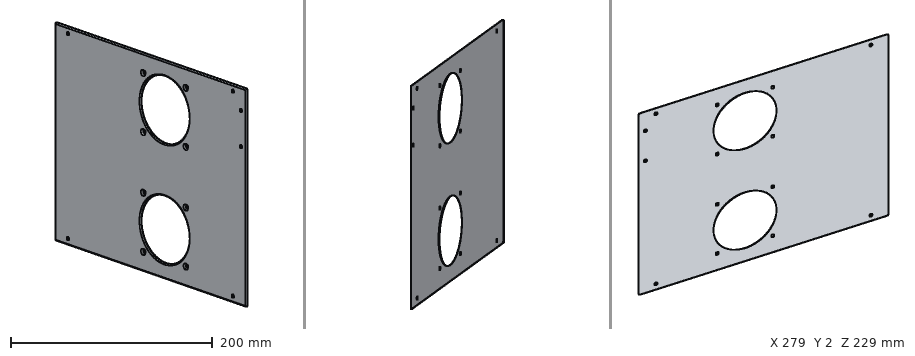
import cadquery as cq

width = 279.0
height = 229.0
thickness = 2.0
edge_bevel = 1.5
corner_radius = 2.0

opening_x = 20.6
opening_z = 62.8
opening_diameter = 70.3
opening_rim_diameter = 73.0
screw_offset = 31.0
screw_diameter = 3.3
screw_head_diameter = 6.7

small_hole_diameter = 3.3
corner_hole_x = 120.0
corner_hole_z = 107.5
side_hole_x = 131.7
side_hole_heights = (52.2, 90.0)

front_y = -thickness / 2


def through_hole(x, z, diameter):
    """Cylinder along Y that passes through the whole plate."""
    start = cq.Vector(x, front_y, z)
    return cq.Solid.makeCylinder(diameter / 2, thickness, start, cq.Vector(0, 1, 0))


def countersunk_hole(x, z, diameter, rim_diameter):
    """Through hole with a 45 degree countersink in the front face."""
    start = cq.Vector(x, front_y, z)
    sink_depth = (rim_diameter - diameter) / 2
    sink = cq.Solid.makeCone(
        rim_diameter / 2, diameter / 2, sink_depth, start, cq.Vector(0, 1, 0)
    )
    return through_hole(x, z, diameter).fuse(sink)


result = cq.Workplane("XY").box(width, thickness, height)
result = result.edges("|Y").fillet(corner_radius)
result = result.faces("<Y").edges().chamfer(edge_bevel)

for center_z in (-opening_z, opening_z):
    result = result.cut(
        countersunk_hole(opening_x, center_z, opening_diameter, opening_rim_diameter)
    )
    for dx in (-screw_offset, screw_offset):
        for dz in (-screw_offset, screw_offset):
            result = result.cut(
                countersunk_hole(
                    opening_x + dx, center_z + dz, screw_diameter, screw_head_diameter
                )
            )

for x in (-corner_hole_x, corner_hole_x):
    for z in (-corner_hole_z, corner_hole_z):
        result = result.cut(through_hole(x, z, small_hole_diameter))

for z in side_hole_heights:
    result = result.cut(through_hole(side_hole_x, z, small_hole_diameter))